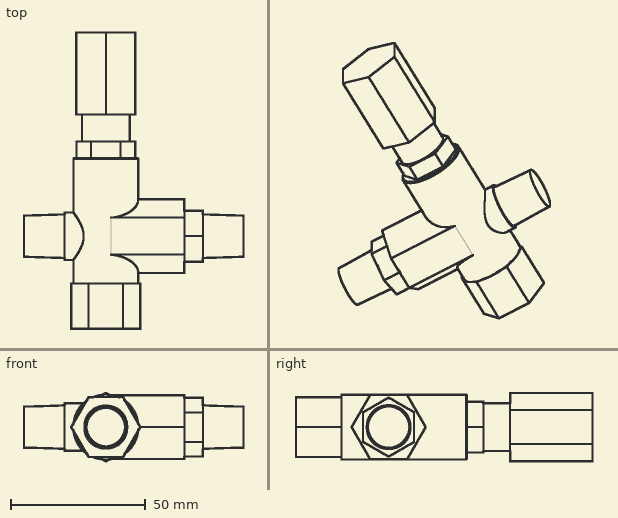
import cadquery as cq
import math


inlet_end = -34.41
inlet_nut_length = 16.9
body_start = inlet_end + inlet_nut_length
body_end = 29.1
lock_hex_end = 35.2
neck_end = 45.1
outlet_end = 75.70

body_diameter = 24.15
body_chamfer = 0.4
inlet_nut_flats = 22.225
lock_hex_flats = 19.0
neck_diameter = 17.8
outlet_nut_corners = 25.37
outlet_nut_flats = outlet_nut_corners * math.cos(math.pi / 6)

left_end = -30.45
right_end = 51.21
thread_length = 15.2
left_thread_start = left_end + thread_length
right_thread_start = right_end - thread_length
branch_hex_end = 29.2

stub_diameter = 17.75
thread_tip_diameter = 15.35
thread_taper = 1 / 16
thread_root_diameter = thread_tip_diameter + thread_length * thread_taper
branch_hex_flats = 23.8125
adapter_hex_flats = 19.0

bore_mouth_diameter = 16.0
bore_thread_depth = 10.4
bore_thread_end_diameter = bore_mouth_diameter - bore_thread_depth * thread_taper
drill_diameter = 14.29
drill_depth = thread_length
drill_point_angle = 118
drill_point_depth = drill_diameter / 2 / math.tan(math.radians(drill_point_angle / 2))

along_x = cq.Vector(1, 0, 0)
along_y = cq.Vector(0, 1, 0)
along_z = cq.Vector(0, 0, 1)


def section_plane(axis, station, corner_direction):
    """Plane across the axis, with its local X toward the hexagon corner."""
    return cq.Workplane(cq.Plane(axis * station, corner_direction, axis))


def hexagon(axis, start, end, flats, corner_direction):
    corners = flats / math.cos(math.pi / 6)
    return section_plane(axis, start, corner_direction).polygon(6, corners).extrude(end - start)


def cylinder(axis, start, end, diameter):
    return section_plane(axis, start, along_z).circle(diameter / 2).extrude(end - start)


def tapered_thread(root, tip):
    """Plain tapered envelope of a pipe thread along X."""
    profile = [
        (root, 0),
        (root, thread_root_diameter / 2),
        (tip, thread_tip_diameter / 2),
        (tip, 0),
    ]
    return cq.Workplane("XY").polyline(profile).close().revolve(360, (0, 0, 0), (1, 0, 0))


def make_run():
    body = cylinder(along_y, body_start, body_end, body_diameter)
    body = body.faces(">Y").chamfer(body_chamfer)
    inlet_nut = hexagon(along_y, inlet_end, body_start, inlet_nut_flats, along_x)
    lock_hex = hexagon(along_y, body_end, lock_hex_end, lock_hex_flats, along_x)
    neck = cylinder(along_y, lock_hex_end, neck_end, neck_diameter)
    outlet_nut = hexagon(along_y, neck_end, outlet_end, outlet_nut_flats, along_z)
    return body.union(inlet_nut).union(lock_hex).union(neck).union(outlet_nut)


def make_left_port():
    stub = cylinder(along_x, left_thread_start, 0, stub_diameter)
    return stub.union(tapered_thread(left_thread_start, left_end))


def make_right_port():
    branch = hexagon(along_x, 0, branch_hex_end, branch_hex_flats, along_y)
    adapter = hexagon(along_x, branch_hex_end, right_thread_start, adapter_hex_flats, along_z)
    thread = tapered_thread(right_thread_start, right_end)
    return branch.union(adapter).union(thread)


def make_inlet_bore():
    thread_end = inlet_end + bore_thread_depth
    drill_end = inlet_end + drill_depth
    profile = [
        (0, inlet_end),
        (bore_mouth_diameter / 2, inlet_end),
        (bore_thread_end_diameter / 2, thread_end),
        (drill_diameter / 2, thread_end),
        (drill_diameter / 2, drill_end),
        (0, drill_end + drill_point_depth),
    ]
    return cq.Workplane("XY").polyline(profile).close().revolve(360, (0, 0, 0), (0, 1, 0))


result = make_run().union(make_left_port()).union(make_right_port()).cut(make_inlet_bore())